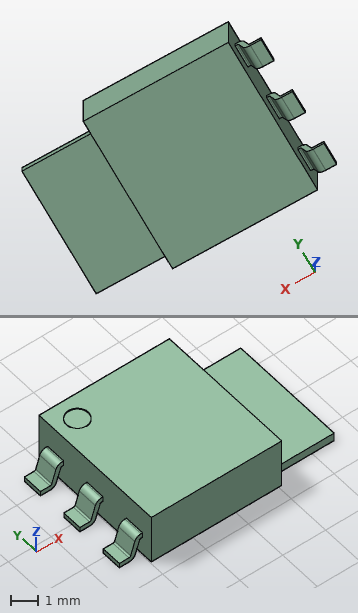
import cadquery as cq
import math

total_length = 10.07

housing_start = 1.09
housing_length = 6.09
housing_width = 6.54
housing_height = 2.38

mark_radius = 0.5
mark_inset = 1.0
mark_depth = 0.05

tab_width = 5.44
tab_thickness = 0.4

lead_count = 3
lead_pitch = 2.3
lead_width = 0.94
lead_thickness = 0.23
lead_height = 1.14
foot_length = 0.45
bend_angle = math.radians(73)
inner_radius = 0.08
outer_radius = inner_radius + lead_thickness


def make_housing():
    """Rectangular housing with the shallow round mark near one corner."""
    block = cq.Workplane("XY").box(
        housing_length, housing_width, housing_height, centered=(False, True, False)
    ).translate((housing_start, 0, 0))
    mark = (
        cq.Workplane("XY", origin=(0, 0, housing_height - mark_depth))
        .center(housing_start + mark_inset, housing_width / 2 - mark_inset)
        .circle(mark_radius)
        .extrude(mark_depth)
    )
    return block.cut(mark)


def make_tab():
    """Flat tab that butts against the back of the housing."""
    tab_start = housing_start + housing_length
    return cq.Workplane("XY").box(
        total_length - tab_start, tab_width, tab_thickness, centered=(False, True, False)
    ).translate((tab_start, 0, 0))


def make_lead(y_center):
    """Gull-wing lead: flat foot, two concentric-sided bends and a short shoulder."""
    radius_sum = inner_radius + outer_radius
    slope_rise = lead_height - lead_thickness - radius_sum * (1 - math.cos(bend_angle))
    slope_run = slope_rise / math.tan(bend_angle)
    shoulder_start = foot_length + radius_sum * math.sin(bend_angle) + slope_run
    lower_center_z = outer_radius
    upper_center_z = lead_height - outer_radius

    def lower_bend(radius, angle):
        return (
            foot_length + radius * math.sin(angle),
            lower_center_z - radius * math.cos(angle),
        )

    def upper_bend(radius, angle):
        return (
            shoulder_start - radius * math.sin(angle),
            upper_center_z + radius * math.cos(angle),
        )

    half_angle = bend_angle / 2
    side_y = y_center + lead_width / 2
    return (
        cq.Workplane("XZ", origin=(0, side_y, 0))
        .moveTo(0, 0)
        .lineTo(foot_length, 0)
        .threePointArc(lower_bend(outer_radius, half_angle), lower_bend(outer_radius, bend_angle))
        .lineTo(*upper_bend(inner_radius, bend_angle))
        .threePointArc(upper_bend(inner_radius, half_angle), upper_bend(inner_radius, 0))
        .lineTo(housing_start, lead_height - lead_thickness)
        .lineTo(housing_start, lead_height)
        .lineTo(shoulder_start, lead_height)
        .threePointArc(upper_bend(outer_radius, half_angle), upper_bend(outer_radius, bend_angle))
        .lineTo(*lower_bend(inner_radius, bend_angle))
        .threePointArc(lower_bend(inner_radius, half_angle), lower_bend(inner_radius, 0))
        .lineTo(0, lead_thickness)
        .close()
        .extrude(lead_width)
    )


housing = make_housing()
tab = make_tab()
leads = []
for index in range(lead_count):
    lead_y = (index - (lead_count - 1) / 2) * lead_pitch
    leads.append(make_lead(lead_y).val())

result = cq.Compound.makeCompound([housing.val(), tab.val(), *leads])